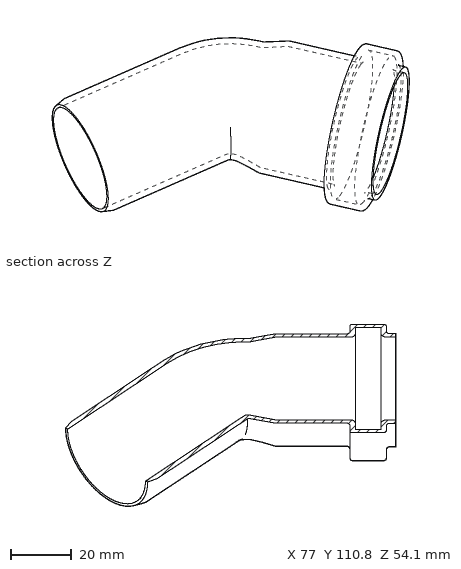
import cadquery as cq
import math

spigot_outer_d = 40.2
spigot_bore_d = 36.2
socket_outer_d = 44.6
socket_bore_d = 40.8
collar_outer_d = 54.1
groove_d = 50.3
lip_outer_d = 44.9
lip_bore_d = 41.1

spigot_length = 46.3
tip_length = 3.4
tip_inset = 1.0
bend_angle = 45
bend_radius = 18.3

cone_start = 1.5
cone_end = 9.9
collar_start = 34.3
collar_end = 46.4
socket_end = 49.5

collar_wall = 1.9
collar_fillet = 1.0
groove_fillet = 1.8

tolerance = 0.01

spigot_outer_r = spigot_outer_d / 2
spigot_bore_r = spigot_bore_d / 2
socket_outer_r = socket_outer_d / 2
socket_bore_r = socket_bore_d / 2
collar_r = collar_outer_d / 2
groove_r = groove_d / 2
lip_outer_r = lip_outer_d / 2
lip_bore_r = lip_bore_d / 2
groove_start = collar_start + collar_wall
groove_end = collar_end - collar_wall

bend_start = cq.Plane(origin=(0, spigot_length, 0), xDir=(1, 0, 0), normal=(0, 1, 0))
angle = math.radians(bend_angle)
bend_end = (
    bend_radius * (1 - math.cos(angle)),
    spigot_length + bend_radius * math.sin(angle),
)


def turned(profile):
    """Revolve (radius, distance) points, closed along the axis, about +Y."""
    points = [(0, profile[0][1])] + profile + [(0, profile[-1][1])]
    return cq.Workplane("XY").polyline(points).close().revolve(360, (0, 0), (0, 1))


def on_socket_axis(body):
    """Move a body turned about +Y onto the inclined socket axis."""
    return body.rotate((0, 0, 0), (0, 0, 1), -bend_angle).translate((*bend_end, 0))


def round_rings(body, rings, radius):
    """Fillet the circular edges of a turned body given as (radius, distance)."""
    edges = [
        edge
        for edge in body.edges("%CIRCLE").vals()
        for ring_radius, distance in rings
        if abs(edge.radius() - ring_radius) < tolerance
        and abs(edge.Center().y - distance) < tolerance
    ]
    return body.newObject(edges).fillet(radius)


def bend(radius):
    """Round bend; a section reaching past the turning axis is trimmed there."""
    section = cq.Workplane(bend_start)
    if radius > bend_radius:
        half_chord = math.sqrt(radius**2 - bend_radius**2)
        section = (
            section.moveTo(bend_radius, half_chord)
            .threePointArc((-radius, 0), (bend_radius, -half_chord))
            .close()
        )
    else:
        section = section.circle(radius)
    return section.revolve(bend_angle, (bend_radius, 0), (bend_radius, 1))


def outer_body():
    spigot = turned([
        (spigot_outer_r - tip_inset, 0),
        (spigot_outer_r, tip_length),
        (spigot_outer_r, spigot_length),
    ])
    socket = turned([
        (spigot_outer_r, 0),
        (spigot_outer_r, cone_start),
        (socket_outer_r, cone_end),
        (socket_outer_r, collar_start),
        (collar_r, collar_start),
        (collar_r, collar_end),
        (lip_outer_r, collar_end),
        (lip_outer_r, socket_end),
    ])
    collar_rings = [
        (socket_outer_r, collar_start),
        (collar_r, collar_start),
        (collar_r, collar_end),
        (lip_outer_r, collar_end),
    ]
    socket = round_rings(socket, collar_rings, collar_fillet)
    return spigot.union(bend(spigot_outer_r)).union(on_socket_axis(socket))


def bore():
    spigot = turned([(spigot_bore_r, 0), (spigot_bore_r, spigot_length)])
    socket = turned([
        (spigot_bore_r, 0),
        (spigot_bore_r, cone_start),
        (socket_bore_r, cone_end),
        (socket_bore_r, groove_start),
        (groove_r, groove_start),
        (groove_r, groove_end),
        (lip_bore_r, groove_end),
        (lip_bore_r, socket_end),
    ])
    groove_rings = [(socket_bore_r, groove_start), (lip_bore_r, groove_end)]
    socket = round_rings(socket, groove_rings, groove_fillet)
    return spigot.union(bend(spigot_bore_r)).union(on_socket_axis(socket))


result = outer_body().cut(bore())